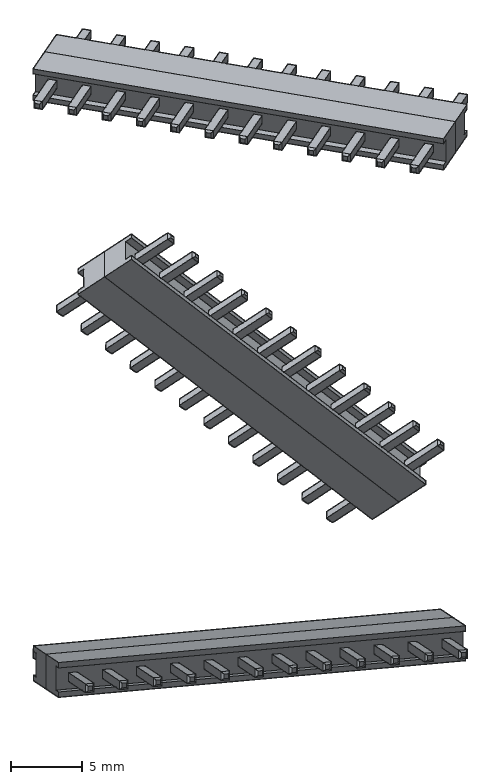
import cadquery as cq

pin_count = 12
strip_length = 30.48
strip_height = 2.53
half_depth = 2.55
flange_thickness = 0.4
flange_overhang = 0.55
pin_width = 0.65
tip_taper = 0.15
front_reach = 5.3
rear_reach = 5.6

pin_pitch = strip_length / pin_count
web_depth = half_depth - flange_overhang
channel_height = strip_height - 2 * flange_thickness


def make_housing():
    """Half strip behind the joint plane Y = 0, with a channel along its outer face."""
    block = cq.Workplane("XY").box(
        strip_length, half_depth, strip_height, centered=(True, False, True)
    )
    channel = (
        cq.Workplane("XY")
        .box(strip_length, flange_overhang, channel_height, centered=(True, False, True))
        .translate((0, web_depth, 0))
    )
    return block.cut(channel)


def make_pin(x_position, reach):
    """Square pin from the channel floor toward +Y, with a tapered free end."""
    return (
        cq.Workplane("XY")
        .box(pin_width, reach - web_depth, pin_width, centered=(True, False, True))
        .faces(">Y")
        .chamfer(tip_taper)
        .translate((x_position, web_depth, 0))
    )


def make_header_half(reach):
    """One half strip and its row of pins, as a single solid."""
    half = make_housing()
    for index in range(pin_count):
        x_position = (index - (pin_count - 1) / 2) * pin_pitch
        half = half.union(make_pin(x_position, reach))
    return half


rear_half = make_header_half(rear_reach)
front_half = make_header_half(front_reach).mirror("XZ")

result = cq.Compound.makeCompound([rear_half.val(), front_half.val()])